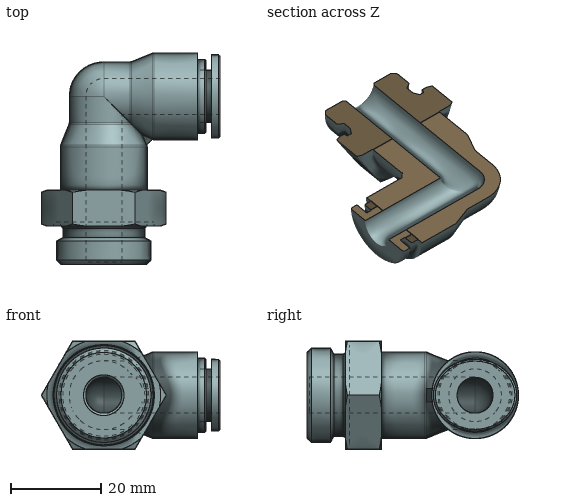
import cadquery as cq
import math


overall_width = 39.65
overall_length = 46.95

bore_dia = 8.0

elbow_dia = 15.3
arm_dia = 19.3
taper_start = 6.0
taper_end = 11.0
arm_length = 20.8
edge_radius = 1.0
gusset_leg = 20.3
gusset_thickness = 3.0

hex_across_flats = 24.0
hex_across_corners = hex_across_flats * 2 / math.sqrt(3)
hex_height = 8.0
hex_end = arm_length + hex_height
hex_chamfer_dia = 25.2
hex_chamfer_height = 0.45
recess_dia = 22.5
recess_depth = 0.9
recess_wall_inset = 0.25
neck_dia = 18.2
neck_root_dia = 19.85
neck_start = 29.3
neck_end = 31.3
thread_dia = 20.95
thread_start = 32.1
stud_end = overall_length - arm_dia / 2
thread_chamfer = 1.0
bore_chamfer = 0.5

collar_dia = 16.5
collar_length = 1.85
collar_chamfer = 0.3

button_sleeve_dia = 11.7
button_flange_width = 18.5
button_flange_height = 15.95
button_flange_start = 23.85
button_end = overall_width - hex_across_corners / 2
button_chamfer = 0.4


def revolve_stud_axis(points):
    """Turn (radius, distance from the corner) points into a solid around the -Y axis."""
    outline = [(radius, -distance) for radius, distance in points]
    return cq.Workplane("XY").polyline(outline).close().revolve(360, (0, 0), (0, 1))


def port_cylinder(diameter, start, end):
    """Cylinder around the +X axis between two distances from the corner."""
    return cq.Workplane("YZ", origin=(start, 0, 0)).circle(diameter / 2).extrude(end - start)


def make_arm():
    """Solid arm along -Y, with a taper from the narrow to the wide diameter."""
    arm = revolve_stud_axis([
        (0, 0),
        (elbow_dia / 2, 0),
        (elbow_dia / 2, taper_start),
        (arm_dia / 2, taper_end),
        (arm_dia / 2, arm_length),
        (0, arm_length),
    ])
    for distance in (taper_start, taper_end):
        taper_edge = cq.selectors.NearestToPointSelector((0, -distance, 0))
        arm = arm.edges(taper_edge).fillet(edge_radius)
    return arm


def make_gusset():
    """Triangular web whose sloped side joins the wide ends of the two tapers."""
    return (
        cq.Workplane("XY")
        .polyline([(0, 0), (gusset_leg, 0), (0, -gusset_leg)])
        .close()
        .extrude(gusset_thickness / 2, both=True)
    )


def make_elbow():
    stud_arm = make_arm()
    port_arm = make_arm().rotate((0, 0, 0), (0, 0, 1), 90)
    corner = cq.Workplane("XY").sphere(elbow_dia / 2)
    body = stud_arm.union(port_arm).union(corner).union(make_gusset())

    stud_bore = cq.Workplane("XZ").circle(bore_dia / 2).extrude(arm_length)
    port_bore = port_cylinder(bore_dia, 0, arm_length)
    corner_bore = cq.Workplane("XY").sphere(bore_dia / 2)
    return body.cut(stud_bore.union(port_bore).union(corner_bore))


def make_hexagon():
    """Hexagon with corners on X, both faces chamfered, and the recess in its outer face."""
    prism = (
        cq.Workplane("XZ", origin=(0, -arm_length, 0))
        .polygon(6, hex_across_corners)
        .extrude(hex_height)
    )
    chamfer_envelope = revolve_stud_axis([
        (0, arm_length),
        (hex_chamfer_dia / 2, arm_length),
        (hex_across_corners / 2, arm_length + hex_chamfer_height),
        (hex_across_corners / 2, hex_end - hex_chamfer_height),
        (hex_chamfer_dia / 2, hex_end),
        (0, hex_end),
    ])
    recess = revolve_stud_axis([
        (0, hex_end - recess_depth),
        (recess_dia / 2 - recess_wall_inset, hex_end - recess_depth),
        (recess_dia / 2, hex_end),
        (0, hex_end),
    ])
    return prism.intersect(chamfer_envelope).cut(recess)


def make_stud():
    recess_floor = hex_end - recess_depth
    shank = revolve_stud_axis([
        (0, recess_floor),
        (neck_root_dia / 2, recess_floor),
        (neck_dia / 2, neck_start),
        (neck_dia / 2, neck_end),
        (thread_dia / 2, thread_start),
        (thread_dia / 2, stud_end - thread_chamfer),
        (thread_dia / 2 - thread_chamfer, stud_end),
        (0, stud_end),
    ])
    stud = make_hexagon().union(shank)
    bore = revolve_stud_axis([
        (0, arm_length),
        (bore_dia / 2, arm_length),
        (bore_dia / 2, stud_end - bore_chamfer),
        (bore_dia / 2 + bore_chamfer, stud_end),
        (0, stud_end),
    ])
    return stud.cut(bore)


def make_collar():
    collar_end = arm_length + collar_length
    collar = port_cylinder(collar_dia, arm_length, collar_end).faces(">X").chamfer(collar_chamfer)
    return collar.cut(port_cylinder(button_sleeve_dia, arm_length, collar_end))


def make_release_button():
    """Sleeve through the collar, ending in an oval push flange."""
    sleeve = port_cylinder(button_sleeve_dia, arm_length, button_flange_start)
    flange = (
        cq.Workplane("YZ", origin=(button_flange_start, 0, 0))
        .ellipse(button_flange_width / 2, button_flange_height / 2)
        .extrude(button_end - button_flange_start)
        .faces(">X")
        .chamfer(button_chamfer)
    )
    return sleeve.union(flange).cut(port_cylinder(bore_dia, arm_length, button_end))


elbow = make_elbow()
stud = make_stud()
collar = make_collar()
release_button = make_release_button()

result = cq.Compound.makeCompound([elbow.val(), stud.val(), collar.val(), release_button.val()])